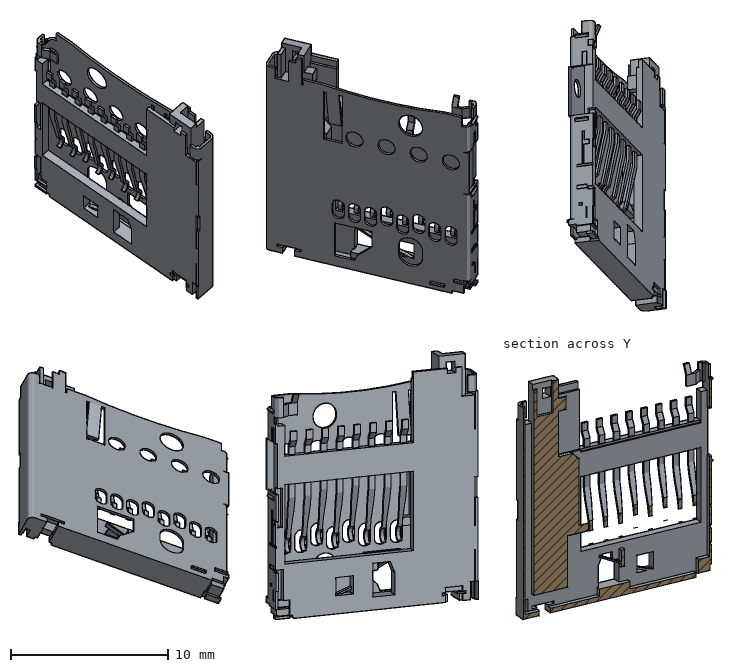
import cadquery as cq
import math


COVER_WIDTH = 13.9
BODY_HEIGHT = 14.37
COVER_BACK = 1.65
SHEET = 0.16
CORNER_RADIUS = 0.35
WALL_FRONT = 0.05

FRAME_FRONT = 0.05
FRAME_BACK = 0.62
FRAME_LEFT = 0.11
FRAME_TOP = 15.38
NOTCH_DEPTH = 0.22

WINDOW_LEFT = 0.62
WINDOW_RIGHT = 9.48
BAR_BOTTOM = 8.86
BAR_TOP = 10.74
WINDOW_BOTTOM = 3.64
CAM_WINDOW_BOTTOM = 0.86

CONTACT_COUNT = 8
CONTACT_PITCH = 1.096
FIRST_CONTACT_X = 1.22
CONTACT_WIDTH = 0.42
TIP_WIDTH = 0.28
CONTACT_THICKNESS = 0.15
SHORT_CONTACTS = (2, 4)
SHORTENING = 0.34

SLIDER_TOP = 16.2
SLIDER_FRONT = 0.21
SLIDER_LEFT = 11.28
SLIDER_RIGHT = 13.1

COVER_INNER = COVER_BACK - SHEET
THROUGH = 4.0


def box(x0, x1, y0, y1, z0, z1):
    """Block between the given X, Y and Z limits."""
    size = (x1 - x0, y1 - y0, z1 - z0)
    return cq.Workplane("XY").box(*size, centered=False).translate((x0, y0, z0))


def sheet_xz(points, y0, y1):
    """Plate with an outline of (x, z) points, between two Y levels."""
    return cq.Workplane("XZ", origin=(0, y1, 0)).polyline(points).close().extrude(y1 - y0)


def side_profile(points, x0, x1):
    """Bar with a section of (y, z) points, between two X levels."""
    return cq.Workplane("YZ", origin=(x0, 0, 0)).polyline(points).close().extrude(x1 - x0)


def through_x_z(x0, x1, z0, z1):
    """Cutting block through the whole depth of the part."""
    return box(x0, x1, -1, THROUGH, z0, z1)


def round_cutter(x, z, radius):
    """Cutting cylinder along Y through the whole depth."""
    return cq.Workplane("XZ", origin=(x, THROUGH, z)).circle(radius).extrude(2 * THROUGH)


def contact_x(index):
    return FIRST_CONTACT_X + index * CONTACT_PITCH


def shortening(index):
    """How much higher the tip of this contact ends than a long contact's tip."""
    return SHORTENING if index in SHORT_CONTACTS else 0.0


LEFT_WALL_TOP = 13.65
LEFT_GAP = (8.25, 11.6)
LEFT_WALL_BOTTOM = 1.17
RIGHT_WALL_TOP = 14.8
RIGHT_SHOULDER = 13.2
PLATE_SHOULDER_Z = 13.97
LEFT_CLIP_BOTTOM = 13.3
RIGHT_CLIP_BOTTOM = 13.7
FLOOR_LEFT = 1.15
FLOOR_CORNER_Z = 0.22
TERMINAL_RIGHT = 0.97
TERMINAL_TOP = 1.25
FOOT_TOP = 1.2


def cover_tray():
    """Channel with rounded rear corners; the left wall is open between its two lengths."""
    tray = box(0, COVER_WIDTH, WALL_FRONT, COVER_BACK, 0, RIGHT_WALL_TOP)
    tray = tray.edges("|Z and >Y").fillet(CORNER_RADIUS)
    inside = box(SHEET, COVER_WIDTH - SHEET, -1, COVER_INNER, -1, THROUGH + SLIDER_TOP)
    inside = inside.edges("|Z and >Y").fillet(CORNER_RADIUS - SHEET)
    tray = tray.cut(inside)

    gap_low, gap_high = LEFT_GAP
    tray = tray.cut(box(-1, CORNER_RADIUS, -1, THROUGH, gap_low, gap_high))
    tray = tray.union(box(0, 2 * CORNER_RADIUS, COVER_INNER, COVER_BACK, gap_low, gap_high))
    tray = tray.cut(box(-1, CORNER_RADIUS, -1, THROUGH, -1, LEFT_WALL_BOTTOM))
    tray = tray.cut(through_x_z(-1, FLOOR_LEFT, -1, FLOOR_CORNER_Z))
    tray = tray.cut(box(-1, SHEET, -1, FRAME_BACK, LEFT_CLIP_BOTTOM, BODY_HEIGHT))
    right_wall_inner = COVER_WIDTH - SHEET
    tray = tray.cut(box(right_wall_inner, COVER_WIDTH + 1, -1, FRAME_BACK, RIGHT_CLIP_BOTTOM, FRAME_TOP))
    right_relief_back = 0.5
    tray = tray.cut(box(right_wall_inner, COVER_WIDTH + 1, -1, right_relief_back, 6.7, 8.06))
    return tray.cut(left_wall_grooves())


def left_wall_grooves():
    """Shallow parting grooves around the latching strips of the left wall."""
    depth = 0.06
    front = -1
    grooves = cq.Workplane("XY")
    limits = (
        (0.45, 0.75, LEFT_GAP[1], 12.52),
        (0.45, 0.75, 6.2, 7.1),
        (0.28, 0.45, 6.2, 6.5),
        (0.64, 0.75, 4.86, 6.2),
        (front, 1.1, 4.72, 4.86),
        (0.43, 1.1, 3.2, 3.44),
        (front, 0.35, 2.9, 3.3),
        (0.75, 0.97, 2.06, 2.23),
        (0.43, 0.5, LEFT_WALL_BOTTOM, 2.2),
        (front, 0.35, 12.9, 13.3),
    )
    for y0, y1, z0, z1 in limits:
        grooves = grooves.union(box(-1, depth, y0, y1, z0, z1))
    return grooves


def cover_top_cutter():
    """Everything above the curved insertion edge, left of the right-hand corner."""
    arc_left = 1.7
    arc_middle = 5.85
    arc_right = 2 * arc_middle - arc_left
    arc_low = 14.09
    plate_left = 0.5
    outline = (
        cq.Workplane("XZ", origin=(0, THROUGH, 0))
        .moveTo(-1, LEFT_WALL_TOP)
        .lineTo(plate_left, LEFT_WALL_TOP)
        .lineTo(plate_left, BODY_HEIGHT)
        .lineTo(arc_left, BODY_HEIGHT)
        .threePointArc((arc_middle, arc_low), (arc_right, BODY_HEIGHT))
        .lineTo(SLIDER_LEFT, BODY_HEIGHT)
        .lineTo(SLIDER_LEFT, PLATE_SHOULDER_Z)
        .lineTo(RIGHT_SHOULDER, PLATE_SHOULDER_Z)
        .lineTo(RIGHT_SHOULDER, FRAME_TOP)
        .lineTo(-1, FRAME_TOP)
        .close()
    )
    return outline.extrude(2 * THROUGH)


def contact_clearances():
    """Long slots behind the contact tips and round holes behind the contact roots."""
    slot_width = 0.83
    slot_height = 1.48
    slot_bottom = 3.87
    root_hole_radius = 0.58
    root_hole_z = 10.55
    cutters = cq.Workplane("XY")
    for index in range(CONTACT_COUNT):
        slot_z = slot_bottom + slot_height / 2 + shortening(index)
        slot = (
            cq.Workplane("XZ", origin=(contact_x(index), THROUGH, slot_z))
            .slot2D(slot_height, slot_width, 90)
            .extrude(THROUGH)
        )
        cutters = cutters.union(slot)
        if index % 2 == 0:
            cutters = cutters.union(round_cutter(contact_x(index), root_hole_z, root_hole_radius))
    return cutters


def cover_openings():
    """A round and an elongated inspection hole, the cam opening and the slot around the brake finger."""
    inspection_x = 3.97
    inspection_radius = 0.81
    cutters = contact_clearances()
    lower_end_z = 2.25
    upper_end_z = 2.86
    round_hole_z = 12.72
    for z in (lower_end_z, upper_end_z, round_hole_z):
        cutters = cutters.union(round_cutter(inspection_x, z, inspection_radius))
    hole_left = inspection_x - inspection_radius
    hole_right = inspection_x + inspection_radius
    cutters = cutters.union(through_x_z(hole_left, hole_right, lower_end_z, upper_end_z))
    cam_outline = [(6.6, 2.2), (6.6, 3.45), (9.15, 3.45), (9.15, 0.8), (7.78, 0.8), (7.6, 1.25)]
    cutters = cutters.union(sheet_xz(cam_outline, COVER_INNER - SHEET, THROUGH))
    finger_slot = through_x_z(8.62, 9.9, 10.0, FINGER_TOP)
    return cutters.union(finger_slot)


FINGER_LEFT = 8.86
FINGER_RIGHT = 9.72
FINGER_TOP = 13.8


def brake_finger():
    """Finger hanging from the top of its slot and leaning into the card space."""
    finger_bottom = 11.0
    lean = 0.45
    section = [
        (COVER_BACK, FINGER_TOP),
        (COVER_INNER, FINGER_TOP),
        (COVER_INNER - lean, finger_bottom),
        (COVER_BACK - lean, finger_bottom),
    ]
    return side_profile(section, FINGER_LEFT, FINGER_RIGHT)


def side_ridges():
    """Two V-shaped ridges pressed outwards from the left wall."""
    height = 0.13
    half_width = 0.13
    ridge_front = 0.33
    ridge_back = 1.22
    ridges = cq.Workplane("XY")
    for z in (7.92, 13.7 - half_width / 2):
        outline = [(SHEET / 2, z - half_width), (0, z - half_width)]
        outline += [(-height, z), (0, z + half_width), (SHEET / 2, z + half_width)]
        ridges = ridges.union(sheet_xz(outline, ridge_front, ridge_back))
    return ridges


def top_left_clip():
    """Wall end wrapped round the front corner, stepping back into a solder tongue."""
    bottom = LEFT_CLIP_BOTTOM
    tongue_top = 14.1
    top = 14.6
    lip_end = 0.55
    tongue_start = 1.0
    tongue_end = 1.6
    tongue_y = 0.34
    inner_corner = box(0, 2 * SHEET, WALL_FRONT, WALL_FRONT + 2 * SHEET, bottom, top)
    radius = 0.3
    wall_back = FRAME_BACK + SHEET
    wall = box(0, SHEET, WALL_FRONT, wall_back, bottom, top)
    lip = box(0, lip_end, WALL_FRONT, WALL_FRONT + SHEET, bottom, top)
    clip = wall.union(lip).union(inner_corner).edges("|Z and <X and <Y").fillet(radius)
    step = [
        (lip_end, WALL_FRONT),
        (tongue_start, tongue_y),
        (tongue_end, tongue_y),
        (tongue_end, tongue_y + SHEET),
        (tongue_start - SHEET / 2, tongue_y + SHEET),
        (lip_end - SHEET / 2, WALL_FRONT + SHEET),
    ]
    tongue = cq.Workplane("XY", origin=(0, 0, bottom)).polyline(step).close().extrude(tongue_top - bottom)
    tail_left = 1.23
    tail_top = 14.73
    tail_lean = 0.29
    tail_section = [
        (tongue_y, tongue_top - SHEET),
        (tongue_y + SHEET, tongue_top - SHEET),
        (tongue_y + SHEET, tongue_top),
        (tongue_y + SHEET - tail_lean, tail_top),
        (tongue_y - tail_lean, tail_top),
        (tongue_y, tongue_top),
    ]
    tail = side_profile(tail_section, tail_left, tongue_end)
    return clip.union(tongue).union(tail)


def top_right_clip():
    """Right wall end folded over the front corner."""
    bottom = RIGHT_CLIP_BOTTOM
    lip = box(RIGHT_SHOULDER, COVER_WIDTH, 0, SHEET, bottom, RIGHT_WALL_TOP)
    wall = box(COVER_WIDTH - SHEET, COVER_WIDTH, 0, FRAME_BACK + SHEET, bottom, RIGHT_WALL_TOP)
    inner_corner = box(
        COVER_WIDTH - 2 * SHEET, COVER_WIDTH, 0, 2 * SHEET, bottom, RIGHT_WALL_TOP
    )
    return lip.union(wall).union(inner_corner).edges("|Z and >X and <Y").fillet(CORNER_RADIUS)


def solder_lugs():
    """Wall lengths reaching forward to the solder plane."""
    lugs = cq.Workplane("XY")
    for low, high in ((1.9, 3.1), (6.5, LEFT_GAP[0])):
        lugs = lugs.union(box(0, SHEET, 0, FRAME_BACK, low, high))
    right_foot = box(COVER_WIDTH - SHEET, COVER_WIDTH, 0, FRAME_BACK, 0, FOOT_TOP)
    return lugs.union(right_foot)


def bottom_left_clip():
    """Stacked terminal ends that close the bottom-left corner."""
    right = TERMINAL_RIGHT
    front = FRAME_FRONT + SHEET
    block_back = 1.15
    flange_back = 0.45
    flange_bottom = 0.05
    block_bottom = 0.25
    strip_bottom = 0.7
    block_top = 0.8
    core = box(FRAME_LEFT, right, front, block_back, block_bottom, block_top)
    rear = box(FRAME_LEFT, right, front, COVER_BACK, block_top, TERMINAL_TOP)
    strip = box(0, right, FRAME_FRONT, block_back, strip_bottom, block_top)
    flange = box(0, right, FRAME_FRONT, flange_back, flange_bottom, FLOOR_CORNER_Z)
    neck = box(2 * FRAME_LEFT, right, front, flange_back, FLOOR_CORNER_Z, block_bottom)
    side = box(0, SHEET, FRAME_FRONT, COVER_BACK, block_top, LEFT_WALL_BOTTOM)
    return core.union(rear).union(strip).union(flange).union(neck).union(side)


def rear_tabs():
    """Two small tabs standing out of the cover's rear face."""
    rear = 1.8
    height = 0.15
    upper_z = 1.05
    lower_z = 0.45
    left_tab = box(0.12, 1.0, COVER_INNER, rear, upper_z, upper_z + height)
    right_tab = box(1.63, 2.63, COVER_INNER, rear, lower_z, lower_z + height)
    return left_tab.union(right_tab)


def cover_tongue():
    """Rear tongue that guides the slider head."""
    left = 11.4
    root = 13
    high_end = box(left, 11.8, COVER_INNER, COVER_BACK, root, 15.93)
    low_end = box(left, 12.27, COVER_INNER, COVER_BACK, root, 15.6)
    return high_end.union(low_end)


def make_cover():
    cover = cover_tray().cut(cover_top_cutter()).cut(cover_openings())
    additions = (
        brake_finger(),
        side_ridges(),
        top_left_clip(),
        top_right_clip(),
        solder_lugs(),
        bottom_left_clip(),
        rear_tabs(),
        cover_tongue(),
    )
    for addition in additions:
        cover = cover.union(addition)
    return cover


def make_frame():
    """Moulded plate with the contact windows, side notches and the rear floor rib."""
    left_top = 12.76
    upper_right_x = 12.8
    upper_right_z = 13.45
    outline = [
        (FLOOR_LEFT + 0.1, 0),
        (COVER_WIDTH, 0),
        (COVER_WIDTH, upper_right_z),
        (upper_right_x, upper_right_z),
        (upper_right_x, FRAME_TOP),
        (WINDOW_RIGHT, FRAME_TOP),
        (WINDOW_RIGHT, BAR_TOP),
        (WINDOW_LEFT, BAR_TOP),
        (WINDOW_LEFT, left_top),
        (FRAME_LEFT, left_top),
        (FRAME_LEFT, TERMINAL_TOP),
        (TERMINAL_RIGHT, TERMINAL_TOP),
        (TERMINAL_RIGHT, FLOOR_CORNER_Z),
        (FLOOR_LEFT, FLOOR_CORNER_Z),
    ]
    frame = sheet_xz(outline, FRAME_FRONT, FRAME_BACK)
    frame = frame.cut(through_x_z(WINDOW_LEFT, WINDOW_RIGHT, WINDOW_BOTTOM, BAR_BOTTOM))
    square_left = 4.13
    square_bottom = 1.2
    square_size = 1.2
    frame = frame.cut(
        through_x_z(square_left, square_left + square_size, square_bottom, square_bottom + square_size)
    )
    cam_left = 6.68
    cam_right = 8.18
    cam_top = 3.08
    cam_window = [
        (cam_left, CAM_WINDOW_BOTTOM),
        (cam_right, CAM_WINDOW_BOTTOM),
        (cam_right, 2.35),
        (7.87, cam_top),
        (cam_left, cam_top),
    ]
    frame = frame.cut(sheet_xz(cam_window, -1, THROUGH))

    notch_x = COVER_WIDTH - NOTCH_DEPTH
    for low, high in ((11.2, upper_right_z), (4.85, 8.06), (0, 3.28)):
        frame = frame.cut(box(notch_x, COVER_WIDTH + 1, -1, FRAME_FRONT + SHEET, low, high))
    foot_left = 13.38
    frame = frame.cut(through_x_z(foot_left, notch_x, -1, FOOT_TOP))

    left_recess_back = 0.4
    for right, low, high in ((0.46, 6.08, 8.65), (0.52, TERMINAL_TOP, 3.3)):
        frame = frame.cut(box(-1, right, -1, left_recess_back, low, high))

    upper_rail_back = 0.46
    thin_edge_back = 0.3
    thin_edge_z = 14.9
    frame = frame.cut(box(WINDOW_RIGHT, SLIDER_LEFT, upper_rail_back, THROUGH, BAR_TOP, FRAME_TOP))
    frame = frame.cut(box(WINDOW_RIGHT, SLIDER_LEFT, thin_edge_back, THROUGH, thin_edge_z, FRAME_TOP))
    bar_step_y = 0.5
    bar_step = 0.15
    frame = frame.cut(
        box(WINDOW_LEFT, WINDOW_RIGHT, bar_step_y, THROUGH, BAR_TOP - bar_step, BAR_TOP)
    )

    rib_height = 0.35
    floor_rib = box(FLOOR_LEFT, COVER_WIDTH - SHEET, FRAME_BACK, COVER_INNER, 0, rib_height)
    cam_floor = box(6.0, 8.3, FRAME_BACK, 1.0, 0, CAM_WINDOW_BOTTOM)
    return frame.union(floor_rib).union(cam_floor)


def slanted_wire(start, end, back):
    """Flat wire between two (x, z) points, with its rear face at Y = back."""
    width = 0.13
    run = end[0] - start[0]
    climb = end[1] - start[1]
    angle = math.degrees(math.atan2(climb, run))
    wire = box(0, math.hypot(run, climb), back - 2 * width, back, 0, width)
    return wire.rotate((0, 0, 0), (0, 1, 0), -angle).translate((start[0], 0, start[1]))


def cam_parts():
    """Wires across the two lower frame openings and the block beside the cam."""
    wire_back = 0.95
    block_left = 6.6
    anchor = box(block_left - 0.2, block_left + 0.07, 0.4, wire_back, 2.0, 3.2)
    cam_wire = slanted_wire((6.5, 2.14), (8.2, 3.0), wire_back)
    return_wire = slanted_wire((4.3, 1.08), (5.5, 1.52), FRAME_BACK)
    cam_block = box(block_left, 7.16, 0.4, FRAME_BACK, 2.5, 3.2)
    return anchor.union(cam_wire).union(return_wire).union(cam_block)


def bottom_notch_cutter():
    """Stepped notch in the bottom edge: a through slot inside a shallow front recess."""
    slot_top = 0.64
    cross_slot_height = 0.18
    slot = through_x_z(11.88, 12.69, -1, slot_top)
    cross_slot = through_x_z(11.46, 13.06, slot_top - cross_slot_height, slot_top)
    recess = box(11.67, 12.87, -1, FRAME_FRONT + SHEET, -1, 0.98)
    return slot.union(cross_slot).union(recess)


def make_contact(index):
    """Solder tail, flat root inside the frame and a rising spring arm with a curved tip."""
    tail_top = 12.32
    tail_bend = 11.7
    root_start = 11.25
    root_y = 0.28
    arm_start = 7.9 + shortening(index)
    crest_start_z = 5.07 + shortening(index)
    crest_z = 4.5 + shortening(index)
    tip_z = 4.1 + shortening(index)
    crest_start_y = 0.9
    crest_y = 1.18
    tip_y = 0.9
    half_sheet = CONTACT_THICKNESS / 2
    section = (
        cq.Workplane("YZ")
        .moveTo(0, tail_top)
        .lineTo(0, tail_bend)
        .lineTo(root_y, root_start)
        .lineTo(root_y, arm_start)
        .lineTo(crest_start_y, crest_start_z)
        .threePointArc((crest_y, crest_z), (tip_y, tip_z + half_sheet))
        .lineTo(tip_y + half_sheet, tip_z)
        .threePointArc(
            (crest_y + CONTACT_THICKNESS, crest_z),
            (crest_start_y + CONTACT_THICKNESS, crest_start_z + half_sheet),
        )
        .lineTo(root_y + CONTACT_THICKNESS, arm_start)
        .lineTo(root_y + CONTACT_THICKNESS, root_start + half_sheet)
        .lineTo(CONTACT_THICKNESS, tail_bend + half_sheet)
        .lineTo(CONTACT_THICKNESS, tail_top)
        .close()
    )
    strip = section.extrude(CONTACT_WIDTH / 2, both=True)
    half_wide = CONTACT_WIDTH / 2
    half_tip = TIP_WIDTH / 2
    taper_top = arm_start - 0.8
    taper_bottom = arm_start - 2
    taper = [
        (-half_wide, tail_top),
        (half_wide, tail_top),
        (half_wide, taper_top),
        (half_tip, taper_bottom),
        (half_tip, tip_z),
        (-half_tip, tip_z),
        (-half_tip, taper_bottom),
        (-half_wide, taper_top),
    ]
    strip = strip.intersect(sheet_xz(taper, -1, THROUGH))
    return strip.translate((contact_x(index), 0, 0))


def make_slider():
    """Bevelled slider body with a latch tooth and a U-shaped push head at the top."""
    body_left = 9.75
    lower_left = 10.6
    body_bottom = 1.5
    body_top = 10.8
    bevel = 0.5
    tooth_bottom = 5.1
    tooth_top = 5.65
    body_outline = [
        (lower_left, body_bottom),
        (lower_left, tooth_bottom),
        (body_left, tooth_top),
        (body_left, body_top - bevel),
        (body_left + bevel, body_top),
        (SLIDER_RIGHT, body_top),
        (SLIDER_RIGHT, body_bottom),
    ]
    body = sheet_xz(body_outline, FRAME_BACK, COVER_INNER)
    tooth = box(9.05, lower_left, 0.9, 1.4, tooth_bottom, tooth_top)

    head_front_back = 0.75
    left_wall = 0.45
    right_wall = 0.26
    right_wall_top = 15.85
    front = box(SLIDER_LEFT, SLIDER_RIGHT, SLIDER_FRONT, head_front_back, PLATE_SHOULDER_Z, SLIDER_TOP)
    stem = box(SLIDER_LEFT, SLIDER_RIGHT, FRAME_BACK, COVER_INNER, body_top, PLATE_SHOULDER_Z)
    left = box(SLIDER_LEFT, SLIDER_LEFT + left_wall, SLIDER_FRONT, COVER_INNER, body_top, SLIDER_TOP)
    right = box(
        SLIDER_RIGHT - right_wall, SLIDER_RIGHT, SLIDER_FRONT, COVER_INNER, body_top, right_wall_top
    )
    stop = box(10.7, SLIDER_LEFT + left_wall, 0.72, COVER_INNER, 13.95, 14.88)
    stop = stop.edges("|X and >Z").edges("<Y").fillet(0.2)
    body = body.union(stop)
    return body.union(tooth).union(front).union(stem).union(left).union(right)


def head_window_cutter():
    """Square opening through the frame and the front of the slider head."""
    return box(11.8, 12.37, -1, COVER_INNER, 15.05, 15.75)


result = make_frame().union(make_slider()).cut(head_window_cutter()).union(cam_parts())
result = result.union(make_cover())
result = result.cut(bottom_notch_cutter())
for contact_index in range(CONTACT_COUNT):
    result = result.union(make_contact(contact_index))